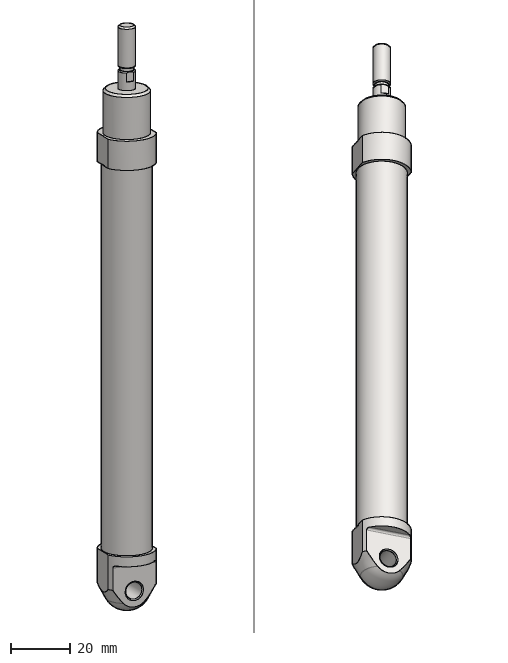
import cadquery as cq
import math

total_height = 206.0
rod_base_z = 183.8
collar_top_z = 168.0
collar_bottom_z = 157.8
rear_cap_top_z = 21.6
tongue_top_z = 18.1
eye_z = 8.2

tube_diameter = 17.3
neck_diameter = 16.0
neck_chamfer = 0.8
collar_diameter = 20.0
across_flats = 18.0

tongue_thickness = 12.0
tongue_root_fillet = 0.8
eye_diameter = 6.0
eye_chamfer = 0.5
nose_rim_radius = 7.2
nose_rim_z = 4.3
cone_top_z = 9.5

rod_diameter = 6.0
rod_tip_chamfer = 0.6
groove_diameter = 4.7
groove_bottom_z = 190.3
groove_top_z = 191.4
groove_chamfer = 0.5
wrench_flat_height = 3.5
wrench_across_flats = 5.4


def cylinder(diameter, bottom_z, top_z):
    """Upright cylinder on the Z axis."""
    return cq.Workplane("XY").workplane(offset=bottom_z).circle(diameter / 2).extrude(top_z - bottom_z)


def flatted_collar(bottom_z, top_z):
    """Round collar with two parallel flats facing -Y and +Y."""
    height = top_z - bottom_z
    flats = cq.Workplane("XY").box(collar_diameter, across_flats, height, centered=(True, True, False))
    return cylinder(collar_diameter, bottom_z, top_z).intersect(flats.translate((0, 0, bottom_z)))


def nose_envelope():
    """Revolved envelope: spherical nose, cone, then the collar cylinder."""
    radius = collar_diameter / 2
    sphere_radius = (nose_rim_radius**2 + nose_rim_z**2) / (2 * nose_rim_z)
    half_angle = math.asin(nose_rim_radius / sphere_radius) / 2
    arc_mid_r = sphere_radius * math.sin(half_angle)
    arc_mid_z = sphere_radius * (1 - math.cos(half_angle))
    return (
        cq.Workplane("XZ")
        .moveTo(0, 0)
        .threePointArc((arc_mid_r, arc_mid_z), (nose_rim_radius, nose_rim_z))
        .lineTo(radius, cone_top_z)
        .lineTo(radius, rear_cap_top_z)
        .lineTo(0, rear_cap_top_z)
        .close()
        .revolve(360, (0, 0, 0), (0, 1, 0))
    )


def rear_cap():
    """Flatted collar carrying a domed tongue with a chamfered cross hole along X."""
    collar_height = rear_cap_top_z - tongue_top_z
    collar = cq.Workplane("XY").box(collar_diameter, across_flats, collar_height, centered=(True, True, False))
    collar = collar.translate((0, 0, tongue_top_z))
    tongue = cq.Workplane("XY").box(tongue_thickness, across_flats, tongue_top_z, centered=(True, True, False))
    blank = collar.union(tongue)
    half_thickness = tongue_thickness / 2
    root_edges = cq.selectors.BoxSelector(
        (-half_thickness - tongue_root_fillet, -across_flats, tongue_top_z - tongue_root_fillet),
        (half_thickness + tongue_root_fillet, across_flats, tongue_top_z + tongue_root_fillet),
    )
    blank = blank.edges("|Y").edges(root_edges).fillet(tongue_root_fillet)
    eye = (
        cq.Workplane("YZ")
        .center(0, eye_z)
        .circle(eye_diameter / 2)
        .extrude(tongue_thickness / 2, both=True)
    )
    chamfer_radius = eye_diameter / 2 + eye_chamfer
    chamfer_cone = cq.Solid.makeCone(
        chamfer_radius,
        eye_diameter / 2,
        eye_chamfer,
        pnt=cq.Vector(-half_thickness, 0, eye_z),
        dir=cq.Vector(1, 0, 0),
    )
    eye = eye.union(cq.Workplane(chamfer_cone)).union(cq.Workplane(chamfer_cone).mirror("YZ"))
    return blank.intersect(nose_envelope()).cut(eye)


def make_housing():
    """Rear cap, tube, front collar and neck as one solid."""
    tube = cylinder(tube_diameter, rear_cap_top_z, collar_bottom_z)
    collar = flatted_collar(collar_bottom_z, collar_top_z)
    neck = cylinder(neck_diameter, collar_top_z, rod_base_z).faces(">Z").chamfer(neck_chamfer)
    return rear_cap().union(tube).union(collar).union(neck)


def make_rod():
    """Exposed piston rod with a bevelled relief groove and two wrench flats."""
    below_groove = cylinder(rod_diameter, rod_base_z, groove_bottom_z).faces(">Z").chamfer(groove_chamfer)
    groove_core = cylinder(groove_diameter, groove_bottom_z, groove_top_z)
    above_groove = cylinder(rod_diameter, groove_top_z, total_height)
    above_groove = above_groove.faces("<Z").chamfer(groove_chamfer).faces(">Z").chamfer(rod_tip_chamfer)
    rod = below_groove.union(groove_core).union(above_groove)

    flat_center_z = groove_bottom_z - wrench_flat_height / 2
    for side in (-1, 1):
        cutter = cq.Workplane("XY").box(rod_diameter, rod_diameter, wrench_flat_height)
        cutter_x = side * (wrench_across_flats + rod_diameter) / 2
        rod = rod.cut(cutter.translate((cutter_x, 0, flat_center_z)))
    return rod


housing = make_housing()
rod = make_rod()

result = cq.Compound.makeCompound([housing.val(), rod.val()])